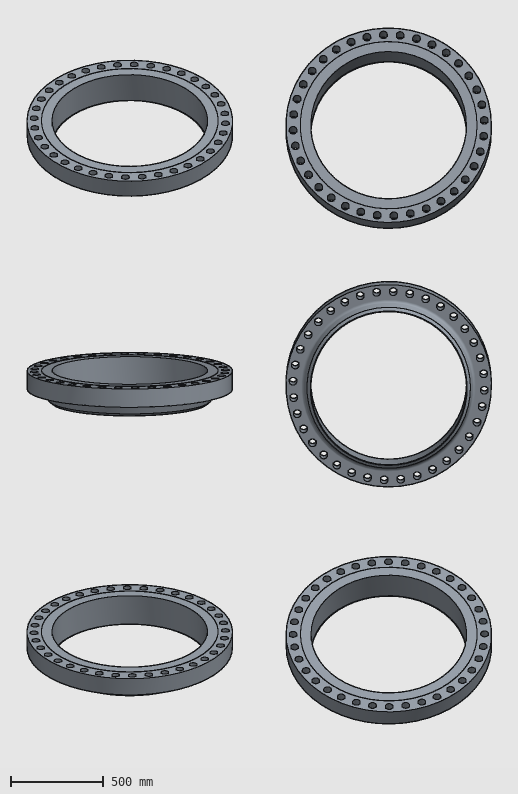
import cadquery as cq
import math

outer_diameter = 1108.08
overall_height = 173.04
bore_diameter = 838.2

ring_thickness = 100.0
raised_face_diameter = 952.5
raised_face_height = 1.59

hub_top_diameter = 917.0
hub_end_diameter = 881.0
hub_fillet_radius = 16.0

bevel_height = 15.0
bevel_end_diameter = 846.0

bolt_count = 36
bolt_circle_diameter = 1031.75
bolt_hole_diameter = 41.28

ring_top_z = overall_height - raised_face_height
ring_bottom_z = ring_top_z - ring_thickness


def hub_fillet_points():
    """Return the start, middle and end (radius, z) of the arc joining the hub taper to the ring."""
    hub_top_radius = hub_top_diameter / 2
    taper_run = (hub_top_diameter - hub_end_diameter) / 2
    taper_angle = math.atan2(ring_bottom_z - bevel_height, taper_run)
    tangent_length = hub_fillet_radius * math.tan(taper_angle / 2)
    center_r = hub_top_radius + tangent_length
    center_z = ring_bottom_z - hub_fillet_radius
    start_angle = math.pi / 2 + taper_angle
    middle_angle = (start_angle + math.pi / 2) / 2

    def on_arc(angle):
        return (
            center_r + hub_fillet_radius * math.cos(angle),
            center_z + hub_fillet_radius * math.sin(angle),
        )

    return on_arc(start_angle), on_arc(middle_angle), on_arc(math.pi / 2)


def flange_body():
    """Revolve the flange cross section about the Z axis."""
    fillet_start, fillet_middle, fillet_end = hub_fillet_points()
    return (
        cq.Workplane("XZ")
        .moveTo(bore_diameter / 2, 0)
        .lineTo(bevel_end_diameter / 2, 0)
        .lineTo(hub_end_diameter / 2, bevel_height)
        .lineTo(*fillet_start)
        .threePointArc(fillet_middle, fillet_end)
        .lineTo(outer_diameter / 2, ring_bottom_z)
        .lineTo(outer_diameter / 2, ring_top_z)
        .lineTo(raised_face_diameter / 2, ring_top_z)
        .lineTo(raised_face_diameter / 2, overall_height)
        .lineTo(bore_diameter / 2, overall_height)
        .close()
        .revolve(360, (0, 0, 0), (0, 1, 0))
    )


def bolt_holes():
    """Return the ring of bolt-hole cylinders, the first one on the +X axis."""
    return (
        cq.Workplane("XY")
        .workplane(offset=ring_bottom_z)
        .polarArray(bolt_circle_diameter / 2, 0, 360, bolt_count)
        .circle(bolt_hole_diameter / 2)
        .extrude(ring_thickness)
    )


result = flange_body().cut(bolt_holes())